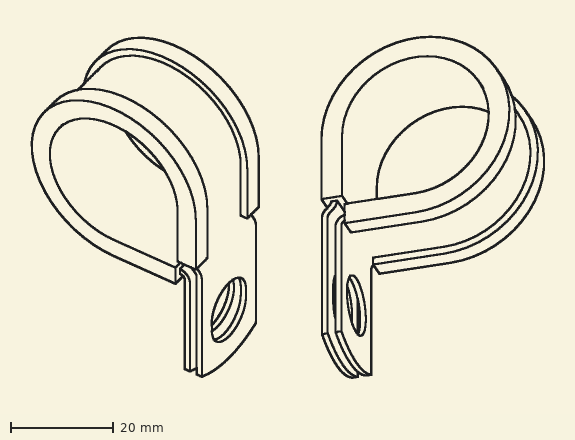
import cadquery as cq
import math

outer_radius = 19.3
inner_radius = 15.05
cushion_width = 22.1
down_leg_end = -13.2
side_leg_end = 14.55

groove_width = 14.0
groove_depth = 1.5
strap_thickness = 1.2
strap_width = 19.0
strap_outer = outer_radius - groove_depth
strap_inner = strap_outer - strap_thickness

tab_bottom = -44.45
tab_end_rise = 2.2
hole_diameter = 11.9
slot_length = 14.0
hole_height = -31.75
bend_radius = 1.15
outer_bend_radius = bend_radius + strap_thickness
near_tab_inner = side_leg_end + bend_radius
near_tab_outer = near_tab_inner + strap_thickness
far_tab_outer = 19.7
far_tab_inner = far_tab_outer - strap_thickness

jog_angle = math.radians(45)
jog_start = down_leg_end - outer_bend_radius * math.tan(jog_angle / 2)
jog_shift = far_tab_outer - strap_outer
miter_rise = strap_thickness * math.tan(jog_angle / 2)
buried_end = down_leg_end + strap_thickness


def extrude_centered(profile, width):
    """Extrude an XZ profile equally to both sides of the middle plane."""
    return profile.extrude(width / 2, both=True)


def loop(outer, inner, width):
    """Three-quarter ring with its two straight legs."""
    diagonal = math.sqrt(0.5)
    profile = (
        cq.Workplane("XZ")
        .moveTo(outer, down_leg_end)
        .lineTo(outer, 0)
        .threePointArc((-outer * diagonal, outer * diagonal), (0, -outer))
        .lineTo(side_leg_end, -outer)
        .lineTo(side_leg_end, -inner)
        .lineTo(0, -inner)
        .threePointArc((-inner * diagonal, inner * diagonal), (inner, 0))
        .lineTo(inner, down_leg_end)
        .close()
    )
    return extrude_centered(profile, width)


def cushion():
    body = loop(outer_radius, inner_radius, cushion_width)
    return body.cut(loop(outer_radius, strap_outer, groove_width))


def near_tab():
    """Tab that turns down from the side leg through a quarter bend."""
    profile = (
        cq.Workplane("XZ")
        .moveTo(side_leg_end, -strap_inner)
        .radiusArc((near_tab_outer, -strap_inner - outer_bend_radius), outer_bend_radius)
        .lineTo(near_tab_outer, tab_bottom)
        .lineTo(near_tab_inner, tab_bottom)
        .lineTo(near_tab_inner, -strap_outer - bend_radius)
        .radiusArc((side_leg_end, -strap_outer), -bend_radius)
        .close()
    )
    return extrude_centered(profile, strap_width)


def far_tab():
    """Tab that jogs outward from the down leg, its upper end buried in the leg."""
    upper_inner = (strap_inner, jog_start)
    lower_inner = (far_tab_inner, jog_start - jog_shift)
    upper_outer = (strap_outer, jog_start + miter_rise)
    lower_outer = (far_tab_outer, jog_start - jog_shift + miter_rise)
    profile = (
        cq.Workplane("XZ")
        .moveTo(strap_inner, buried_end)
        .lineTo(*upper_inner)
        .lineTo(*lower_inner)
        .lineTo(far_tab_inner, tab_bottom)
        .lineTo(far_tab_outer, tab_bottom)
        .lineTo(*lower_outer)
        .lineTo(*upper_outer)
        .lineTo(strap_outer, buried_end)
        .close()
    )
    tab = extrude_centered(profile, strap_width)

    def corner(point):
        return cq.selectors.NearestToPointSelector((point[0], 0, point[1]))

    for point in (upper_inner, lower_outer):
        tab = tab.edges(corner(point)).fillet(outer_bend_radius)
    for point in (upper_outer, lower_inner):
        tab = tab.edges(corner(point)).fillet(bend_radius)
    return tab


def tab_end_trim():
    """Material outside the arched lower end of the tabs."""
    half_width = strap_width / 2
    shoulder = tab_bottom + tab_end_rise
    below_tab = tab_bottom - tab_end_rise
    return (
        cq.Workplane("YZ")
        .moveTo(-half_width, shoulder)
        .threePointArc((0, tab_bottom), (half_width, shoulder))
        .lineTo(half_width, below_tab)
        .lineTo(-half_width, below_tab)
        .close()
        .extrude(far_tab_outer)
    )


def hole_plane():
    return cq.Workplane("YZ").center(0, hole_height)


def near_hole():
    return hole_plane().circle(hole_diameter / 2).extrude(far_tab_outer)


def far_slot():
    """Upright slot, as wide as the round hole in front of it."""
    return hole_plane().slot2D(slot_length, hole_diameter, 90).extrude(far_tab_outer)


drilled_near_tab = near_tab().cut(near_hole())
slotted_far_tab = far_tab().cut(far_slot())
tabs = drilled_near_tab.union(slotted_far_tab).cut(tab_end_trim())
strap = loop(strap_outer, strap_inner, groove_width)
result = cushion().union(strap).union(tabs)